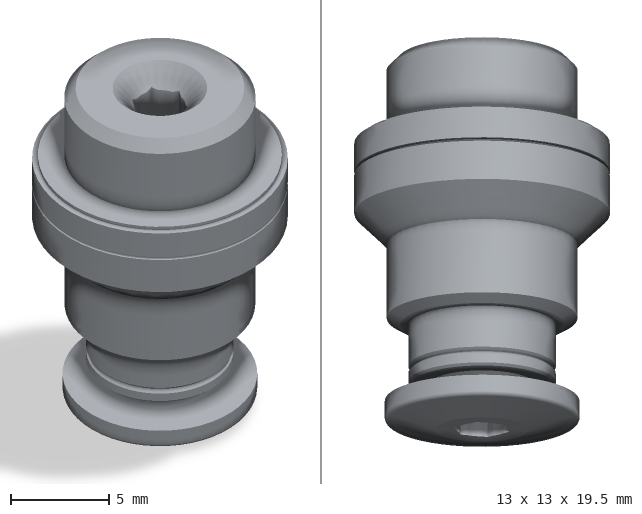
import cadquery as cq
import math

TOTAL_HEIGHT = 19.5

BUTTON_DIAMETER = 9.9
BUTTON_TOP_Z = 1.5
BUTTON_RIM_Z = 0.63
BUTTON_EDGE_RADIUS = 0.2
UNDERSIDE_FLAT_DIAMETER = 4.6

NECK_DIAMETER = 5.4
NECK_FILLET_RADIUS = 0.38

STEM_DIAMETER = 7.5
STEM_BOTTOM_Z = 2.36
STEM_CHAMFER = 0.13
GROOVE_Z = 3.14
GROOVE_DEPTH = 0.18

SLEEVE_DIAMETER = 9.7
SLEEVE_BOTTOM_Z = 5.5
SLEEVE_CHAMFER_HEIGHT = 0.38
SLEEVE_CHAMFER_ANGLE = 30
HEAD_DIAMETER = 9.73
HEAD_CHAMFER = 0.58

COLLAR_DIAMETER = 13.0
COLLAR_STEP_DIAMETER = 12.4
COLLAR_BOTTOM_Z = 11.4
COLLAR_TOP_Z = 15.3
COLLAR_STEP_HEIGHT = 0.2
COLLAR_GROOVE_BOTTOM_Z = 13.42
COLLAR_GROOVE_WIDTH = 0.18

BORE_DIAMETER = 2.6
HEX_ACROSS_FLATS = 2.5
MOUTH_DIAMETER = 4.8
MOUTH_DEPTH = 1.1


def make_body():
    """Revolve the outer half outline about the Z axis."""
    button_r = BUTTON_DIAMETER / 2
    neck_r = NECK_DIAMETER / 2
    stem_r = STEM_DIAMETER / 2
    sleeve_r = SLEEVE_DIAMETER / 2
    head_r = HEAD_DIAMETER / 2
    collar_r = COLLAR_DIAMETER / 2
    step_r = COLLAR_STEP_DIAMETER / 2
    sleeve_chamfer_width = SLEEVE_CHAMFER_HEIGHT / math.tan(math.radians(SLEEVE_CHAMFER_ANGLE))
    diagonal = math.sqrt(0.5)

    fillet_r = NECK_FILLET_RADIUS
    fillet_mid = (neck_r + fillet_r * (1 - diagonal), BUTTON_TOP_Z + fillet_r * (1 - diagonal))
    edge_r = BUTTON_EDGE_RADIUS
    edge_mid = (button_r - edge_r * (1 - diagonal), BUTTON_RIM_Z - edge_r * diagonal)
    groove_top_z = COLLAR_GROOVE_BOTTOM_Z + COLLAR_GROOVE_WIDTH
    step_z = COLLAR_TOP_Z - COLLAR_STEP_HEIGHT

    outline = (
        cq.Workplane("XZ")
        .lineTo(UNDERSIDE_FLAT_DIAMETER / 2, 0)
        .lineTo(button_r - edge_r, BUTTON_RIM_Z - edge_r)
        .threePointArc(edge_mid, (button_r, BUTTON_RIM_Z))
        .lineTo(button_r, BUTTON_TOP_Z)
        .lineTo(neck_r + fillet_r, BUTTON_TOP_Z)
        .threePointArc(fillet_mid, (neck_r, BUTTON_TOP_Z + fillet_r))
        .lineTo(neck_r, STEM_BOTTOM_Z)
        .lineTo(stem_r - STEM_CHAMFER, STEM_BOTTOM_Z)
        .lineTo(stem_r, STEM_BOTTOM_Z + STEM_CHAMFER)
        .lineTo(stem_r, GROOVE_Z - GROOVE_DEPTH)
        .lineTo(stem_r - GROOVE_DEPTH, GROOVE_Z)
        .lineTo(stem_r, GROOVE_Z + GROOVE_DEPTH)
        .lineTo(stem_r, SLEEVE_BOTTOM_Z)
        .lineTo(sleeve_r - sleeve_chamfer_width, SLEEVE_BOTTOM_Z)
        .lineTo(sleeve_r, SLEEVE_BOTTOM_Z + SLEEVE_CHAMFER_HEIGHT)
        .lineTo(sleeve_r, COLLAR_BOTTOM_Z - (collar_r - sleeve_r))
        .lineTo(collar_r, COLLAR_BOTTOM_Z)
        .lineTo(collar_r, COLLAR_GROOVE_BOTTOM_Z)
        .lineTo(step_r, COLLAR_GROOVE_BOTTOM_Z)
        .lineTo(step_r, groove_top_z)
        .lineTo(collar_r, groove_top_z)
        .lineTo(collar_r, step_z)
        .lineTo(step_r, step_z)
        .lineTo(step_r, COLLAR_TOP_Z)
        .lineTo(head_r, COLLAR_TOP_Z)
        .lineTo(head_r, TOTAL_HEIGHT - HEAD_CHAMFER)
        .lineTo(head_r - HEAD_CHAMFER, TOTAL_HEIGHT)
        .lineTo(0, TOTAL_HEIGHT)
        .close()
    )
    return outline.revolve(360, (0, 0, 0), (0, 1, 0))


def make_socket():
    """Round bore joined with a hexagon whose corners point along +Y and -Y."""
    hex_corner_diameter = HEX_ACROSS_FLATS / math.cos(math.radians(30))
    bore = cq.Workplane("XY").circle(BORE_DIAMETER / 2).extrude(TOTAL_HEIGHT)
    hexagon = (
        cq.Workplane("XY")
        .transformed(rotate=(0, 0, 90))
        .polygon(6, hex_corner_diameter)
        .extrude(TOTAL_HEIGHT)
    )
    return bore.union(hexagon)


def make_mouth():
    """Cone that opens the bore at the top face."""
    return (
        cq.Workplane("XY")
        .workplane(offset=TOTAL_HEIGHT - MOUTH_DEPTH)
        .circle(BORE_DIAMETER / 2)
        .workplane(offset=MOUTH_DEPTH)
        .circle(MOUTH_DIAMETER / 2)
        .loft(ruled=True)
    )


result = make_body().cut(make_socket()).cut(make_mouth())